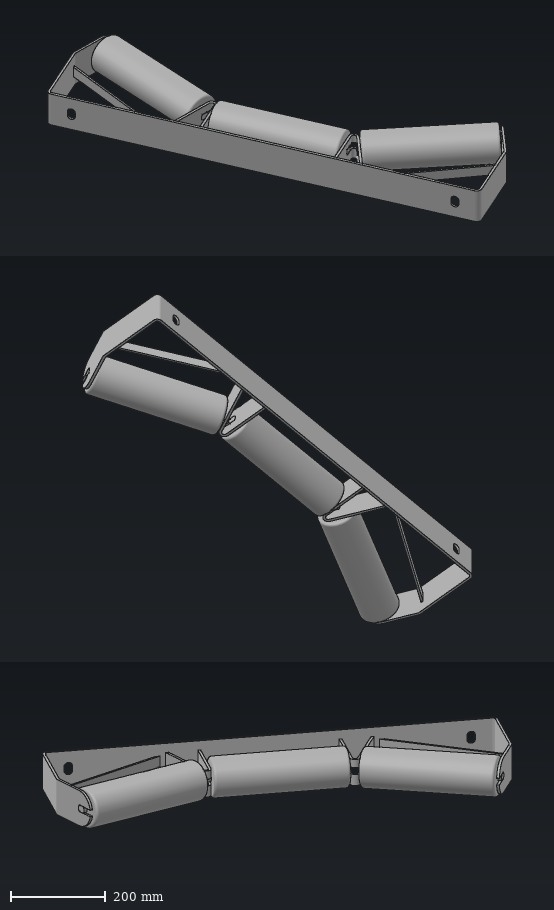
import cadquery as cq
import math

thickness = 6.0
bend_radius = 12.0
frame_height = 80.0

frame_length = 980
wall_bend_y = 157.0
wing_angle = 25
wall_tip_y = 265.0
bolt_slot_x = 433.0
bolt_slot_width = 18.0
bolt_slot_height = 26.0

roller_diameter = 89.0
roller_length = 294.0
roller_edge_radius = 6.0
shaft_diameter = 20.0
shaft_flats = 15.0
center_roller_y = 98.0
wing_roller_top = 270.0
roller_drop = 7.0

bracket_face_x = 149.0
bracket_top_y = 126.0
bracket_height = 60.0

brace_thickness = 5.0
brace_height = 24.5
brace_angle = 30
brace_wall_y = 149.0

lean = math.radians(wing_angle)
outward = cq.Vector(-math.cos(lean), math.sin(lean), 0)
upward = cq.Vector(math.sin(lean), math.cos(lean), 0)

wall_bend = cq.Vector(-frame_length / 2, wall_bend_y, 0)
wall_tip = wall_bend + upward * ((wall_tip_y - wall_bend_y) / upward.y)
bracket_bend = cq.Vector(-bracket_face_x - bend_radius, bracket_top_y - bend_radius, 0)
wing_face = bracket_bend + outward * bend_radius
wing_span = (wall_bend - wing_face).dot(outward) - thickness
wing_tilt = math.atan(roller_drop / wing_span)
center_span = 2 * bracket_face_x

edge_center_x = roller_length / 2 - roller_edge_radius
edge_center_y = roller_diameter / 2 - roller_edge_radius
wing_middle_y = (wing_roller_top - roller_edge_radius
                 - edge_center_x * outward.y - edge_center_y * upward.y)
wing_base = wing_face + outward * (wing_span / 2)
wing_middle = wing_base + upward * ((wing_middle_y - wing_base.y) / upward.y)

center_place = cq.Location(cq.Vector(0, center_roller_y, -roller_drop))
wing_place = (cq.Location(cq.Vector(wing_middle.x, wing_middle.y, -roller_drop / 2))
              * cq.Location(cq.Vector(), cq.Vector(0, 0, 1), -wing_angle)
              * cq.Location(cq.Vector(), cq.Vector(0, 1, 0), math.degrees(wing_tilt)))


def is_above(point, corner):
    """Whether the point has the same X and Y as the corner."""
    return math.hypot(point.x - corner.x, point.y - corner.y) < thickness / 10


def mirrored(body):
    """The same body on the other side of the YZ plane."""
    return body.mirror("YZ")


def bent_strip(outer, height):
    """Upright bent strip standing at the frame's bottom.

    Its outer face follows the given corner points, with the thickness on their right-hand side.
    """
    runs = [(b - a).normalized() for a, b in zip(outer, outer[1:])]
    normals = [cq.Vector(run.y, -run.x, 0) for run in runs]
    inner = [outer[0] + normals[0] * thickness]
    for point, before, after in zip(outer[1:], normals, normals[1:]):
        inner.append(point + (before + after) * (thickness / (1 + before.dot(after))))
    inner.append(outer[-1] + normals[-1] * thickness)

    outline = [point.toTuple()[:2] for point in outer + inner[::-1]]
    strip = cq.Workplane("XY").polyline(outline).close().extrude(height)
    strip = strip.translate((0, 0, -frame_height / 2))

    def bend(corners, radius):
        edges = [edge for edge in strip.edges("|Z").vals()
                 if any(is_above(edge.Center(), corner) for corner in corners)]
        return strip.newObject([strip.val().fillet(radius, edges)])

    strip = bend(outer[1:-1], bend_radius)
    strip = bend(inner[1:-1], bend_radius - thickness)
    return strip


def shaft_profile(length):
    """Round bar along X with a flat on its top and bottom."""
    bar = cq.Workplane("YZ").circle(shaft_diameter / 2).extrude(length / 2, both=True)
    return bar.intersect(cq.Workplane("XY").box(length, shaft_diameter, shaft_flats))


def make_roller(span):
    """Roller along X with its shaft reaching through the walls at both ends."""
    drum = cq.Workplane("XY").cylinder(roller_length, roller_diameter / 2)
    drum = drum.rotate((0, 0, 0), (0, 1, 0), 90)
    drum = drum.faces("<X or >X").edges().fillet(roller_edge_radius)
    return drum.union(shaft_profile(span + 2 * thickness))


def make_shaft_slots(span):
    """Cutter for the two slots that take a shaft; they open toward +Y.

    It reaches far enough past the span to cut through a bracket's bend.
    """
    length = span + 2 * bend_radius
    opening = cq.Workplane("XY").box(length, frame_height, shaft_flats, centered=(True, False, True))
    between = cq.Workplane("XY").box(span - thickness, 3 * frame_height, 3 * frame_height)
    return shaft_profile(length).union(opening).cut(between)


def make_tip_trimmer():
    """Cutter that rounds the upper end of the -X wall to a half circle."""
    radius = frame_height / 2
    block = cq.Workplane("XY").box(4 * thickness, 2 * radius, 4 * radius, centered=(True, False, True))
    disc = cq.Workplane("YZ").circle(radius).extrude(2 * thickness, both=True)
    center = wall_tip - upward * radius
    return block.cut(disc).val().moved(cq.Location(center, cq.Vector(0, 0, 1), -wing_angle))


def make_frame(wing_slots):
    """Long bar and both end walls, with bolt slots in the bar and shaft slots in the wall tips."""
    corner = cq.Vector(-frame_length / 2, 0, 0)
    left = [corner, wall_bend, wall_tip]
    right = [cq.Vector(-point.x, point.y, 0) for point in left]
    frame = bent_strip(right[::-1] + left, frame_height)

    bolt_slots = (cq.Workplane("XZ", origin=(0, thickness, 0))
                  .pushPoints([(-bolt_slot_x, 0), (bolt_slot_x, 0)])
                  .slot2D(bolt_slot_height, bolt_slot_width, 90).extrude(thickness))
    frame = frame.cut(bolt_slots)

    for cutter in (make_tip_trimmer(), wing_slots):
        frame = frame.cut(cq.Workplane(cutter)).cut(cq.Workplane(mirrored(cutter)))
    return frame


def make_bracket(center_slots, wing_slots):
    """The -X bracket: one upright leg, one leg square to the wing roller, standing on the bar."""
    apex = bracket_bend + (cq.Vector(1, 0, 0) + outward) * (bend_radius / (1 + outward.x))
    upright_foot = cq.Vector(-bracket_face_x, 0, 0)
    leaning_foot = apex - upward * (apex.y / upward.y)
    bracket = bent_strip([leaning_foot, apex, upright_foot], bracket_height)
    bar = cq.Workplane("XY").box(frame_length, 2 * thickness, frame_height)
    return bracket.cut(bar).cut(cq.Workplane(center_slots)).cut(cq.Workplane(wing_slots))


def make_brace():
    """The -X brace: a slanted flat bar from the wall down to the long bar."""
    slope = math.tan(math.radians(brace_angle))
    wall_x = thickness - frame_length / 2
    drop = brace_thickness / math.cos(math.radians(brace_angle))
    foot_x = wall_x + (brace_wall_y - thickness) / slope
    outline = [
        (wall_x, brace_wall_y),
        (foot_x, thickness),
        (foot_x - drop / slope, thickness),
        (wall_x, brace_wall_y - drop),
    ]
    return cq.Workplane("XY").polyline(outline).close().extrude(brace_height / 2, both=True)


center_slots = make_shaft_slots(center_span).val().moved(center_place)
wing_slots = make_shaft_slots(wing_span).val().moved(wing_place)

frame = make_frame(wing_slots).val()
center_roller = make_roller(center_span).val().moved(center_place)
wing_roller = make_roller(wing_span).val().moved(wing_place)
bracket = make_bracket(center_slots, wing_slots).val()
brace = make_brace().val()

bodies = [frame, center_roller]
for body in (wing_roller, bracket, brace):
    bodies += [body, mirrored(body)]

result = cq.Compound.makeCompound(bodies)